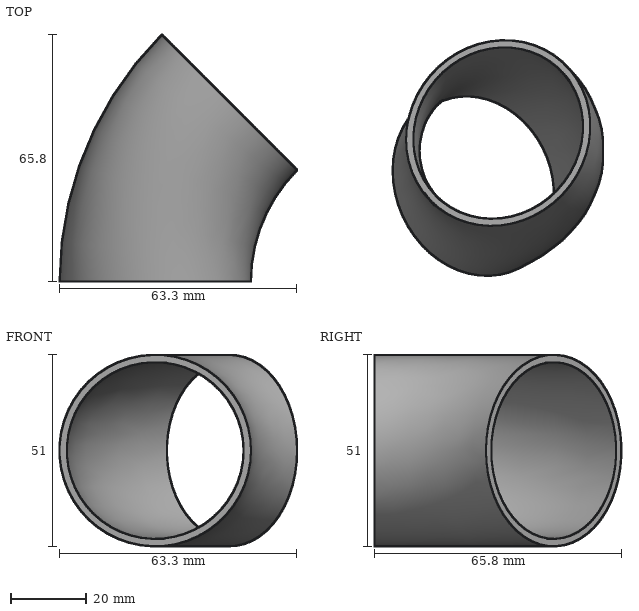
import cadquery as cq

outer_diameter = 51.0
wall_thickness = 2.0
bend_radius = 67.5
bend_angle = 45.0

inner_diameter = outer_diameter - 2 * wall_thickness


def pipe_elbow():
    """Sweep the ring-shaped pipe section around a vertical axis on its +X side.

    The flat inlet lies in the XZ plane, centred on the origin, and the pipe
    runs towards +Y while it bends towards +X.
    """
    section = (
        cq.Workplane("XZ")
        .circle(outer_diameter / 2)
        .circle(inner_diameter / 2)
    )
    axis_start = (bend_radius, 0)
    axis_end = (bend_radius, -1)
    return section.revolve(bend_angle, axis_start, axis_end)


result = pipe_elbow()